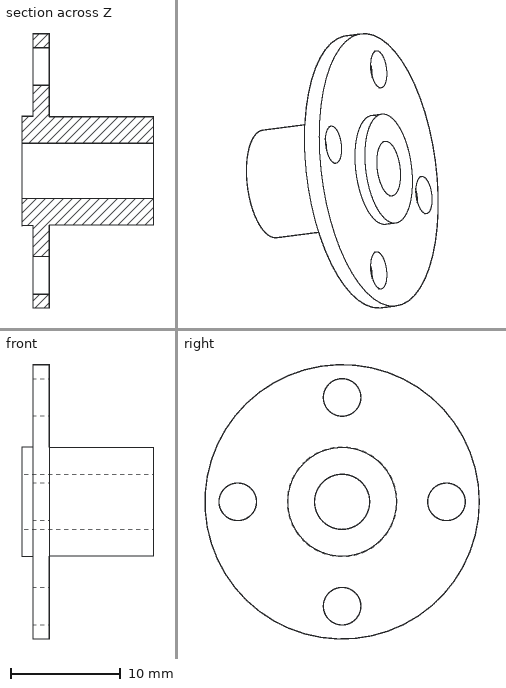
import cadquery as cq

flange_diameter = 25.0
flange_thickness = 1.5
pilot_diameter = 10.0
pilot_length = 1.0
hub_diameter = 9.9
hub_length = 9.5
bore_diameter = 5.0

bolt_hole_diameter = 3.4
bolt_circle_diameter = 19.0
bolt_count = 4


def cylinder(diameter, start, length):
    """Solid cylinder on the X axis, from start towards +X."""
    return cq.Workplane("YZ", origin=(start, 0, 0)).circle(diameter / 2).extrude(length)


flange = cylinder(flange_diameter, 0, flange_thickness)
pilot = cylinder(pilot_diameter, -pilot_length, pilot_length)
hub = cylinder(hub_diameter, flange_thickness, hub_length)

bolt_holes = (
    cq.Workplane("YZ")
    .polarArray(bolt_circle_diameter / 2, 0, 360, bolt_count)
    .circle(bolt_hole_diameter / 2)
    .extrude(flange_thickness)
)

total_length = pilot_length + flange_thickness + hub_length
bore = cylinder(bore_diameter, -pilot_length, total_length)

result = flange.union(pilot).union(hub).cut(bolt_holes).cut(bore)